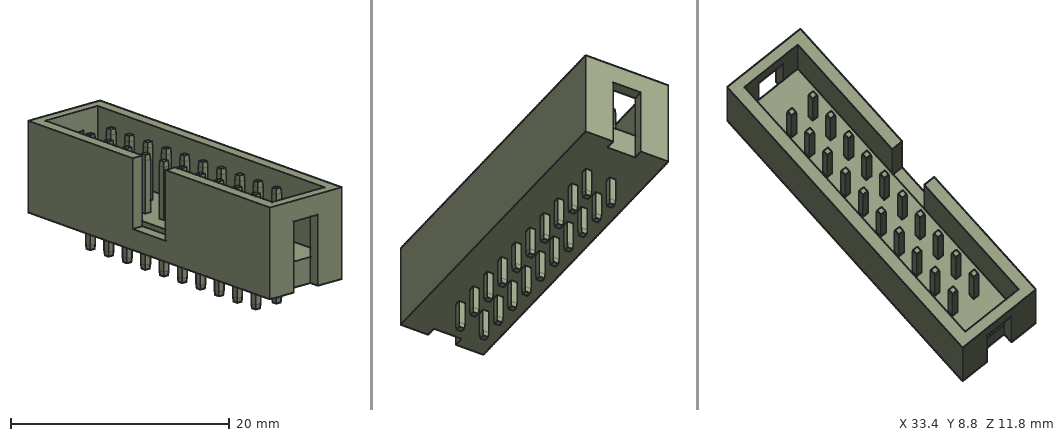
import cadquery as cq

body_length = 33.35
body_width = 8.8
body_height = 8.87
end_wall = 1.05
side_wall = 1.2
floor_thickness = 2.55

notch_width = 4.55
notch_sill_height = 2.05

end_slot_width = 2.95
end_slot_top_margin = 2.0

pin_columns = 10
pin_rows = 2
pin_pitch = 2.55
pin_size = 0.65
tip_length = 0.5
tip_inset = 0.05
pin_top_margin = 0.7
pin_tail_length = 2.95
pin_offset_x = -0.2


def make_shroud():
    cavity_length = body_length - 2 * end_wall
    cavity_width = body_width - 2 * side_wall
    shell = cq.Workplane("XY").box(body_length, body_width, body_height, centered=(True, True, False))
    cavity = (
        cq.Workplane("XY")
        .workplane(offset=floor_thickness)
        .rect(cavity_length, cavity_width)
        .extrude(body_height - floor_thickness)
    )
    return shell.cut(cavity)


def make_notch():
    return (
        cq.Workplane("XY")
        .workplane(offset=notch_sill_height)
        .center(0, -(body_width - side_wall) / 2)
        .rect(notch_width, side_wall)
        .extrude(body_height - notch_sill_height)
    )


def make_end_slot(side):
    return (
        cq.Workplane("XY")
        .center(side * (body_length - end_wall) / 2, 0)
        .rect(end_wall, end_slot_width)
        .extrude(body_height - end_slot_top_margin)
    )


def make_tip(z, direction):
    """Tapered pin end starting at height z and pointing up (+1) or down (-1)."""
    tip_size = pin_size - 2 * tip_inset
    return (
        cq.Workplane("XY")
        .workplane(offset=z)
        .rect(pin_size, pin_size)
        .workplane(offset=direction * tip_length)
        .rect(tip_size, tip_size)
        .loft(ruled=True)
    )


def make_pin():
    shank_bottom = tip_length - pin_tail_length
    shank_top = body_height - pin_top_margin - tip_length
    shank = (
        cq.Workplane("XY")
        .workplane(offset=shank_bottom)
        .rect(pin_size, pin_size)
        .extrude(shank_top - shank_bottom)
    )
    return shank.union(make_tip(shank_top, 1)).union(make_tip(shank_bottom, -1))


result = make_shroud().cut(make_notch())

for side in (-1, 1):
    result = result.cut(make_end_slot(side))

pin = make_pin()
for column in range(pin_columns):
    pin_x = pin_offset_x + (column - (pin_columns - 1) / 2) * pin_pitch
    for row in range(pin_rows):
        pin_y = (row - (pin_rows - 1) / 2) * pin_pitch
        result = result.union(pin.translate((pin_x, pin_y, 0)))